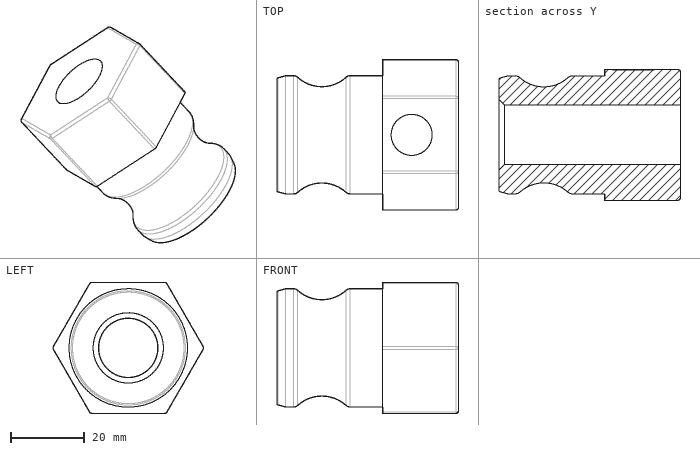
import cadquery as cq
import math

total_length = 49.2125
hex_length = 20.574
hex_start = total_length - hex_length

body_radius = 32.11 / 2
groove_center_x = 12.18
groove_arc_radius = 9.72
groove_lip_radius = 1.524
groove_half_width = 7.62
nose_taper_length = 2.381
nose_taper_drop = 0.65
nose_edge_radius = 0.381

hex_sides = 6
across_flats = 35.56
hex_edge_radius = 0.762

bore_diameter = 16.0
bore_mouth_diameter = 19.05
bore_mouth_depth = 1.524

label_diameter = 11.11
label_depth = 0.2
label_center_x = 36.5


def make_spigot():
    """Revolved spigot: tapered nose, rounded cam groove and plain cylinder."""
    centers_distance = groove_arc_radius + groove_lip_radius
    lip_angle = math.asin(groove_half_width / centers_distance)
    lip_center_r = body_radius - groove_lip_radius
    groove_center_r = lip_center_r + centers_distance * math.cos(lip_angle)

    def lip_point(side, angle):
        """Point on a lip arc, turned by angle from its tangent point on the cylinder."""
        return (
            groove_center_x + side * (groove_half_width - groove_lip_radius * math.sin(angle)),
            lip_center_r + groove_lip_radius * math.cos(angle),
        )

    groove_bottom = (groove_center_x, groove_center_r - groove_arc_radius)

    profile = (
        cq.Workplane("XY")
        .moveTo(0, 0)
        .lineTo(0, body_radius - nose_taper_drop)
        .lineTo(nose_taper_length, body_radius)
        .lineTo(*lip_point(-1, 0))
        .threePointArc(lip_point(-1, lip_angle / 2), lip_point(-1, lip_angle))
        .threePointArc(groove_bottom, lip_point(1, lip_angle))
        .threePointArc(lip_point(1, lip_angle / 2), lip_point(1, 0))
        .lineTo(hex_start, body_radius)
        .lineTo(hex_start, 0)
        .close()
    )
    spigot = profile.revolve(360, (0, 0, 0), (1, 0, 0))
    return spigot.faces("<X").edges().fillet(nose_edge_radius)


def make_hex():
    """Hexagon with flats facing +Z and -Z, rounded edges and a rounded far end."""
    across_corners = across_flats / math.cos(math.radians(180 / hex_sides))
    prism = (
        cq.Workplane("YZ", origin=(hex_start, 0, 0))
        .polygon(hex_sides, across_corners)
        .extrude(hex_length)
        .edges("|X")
        .fillet(hex_edge_radius)
    )
    return prism.faces(">X").fillet(hex_edge_radius)


def make_bore():
    """Through bore with a conical mouth at the nose."""
    bore_radius = bore_diameter / 2
    mouth_radius = bore_mouth_diameter / 2
    profile = (
        cq.Workplane("XY")
        .moveTo(0, 0)
        .lineTo(0, mouth_radius)
        .lineTo(bore_mouth_depth, bore_radius)
        .lineTo(total_length, bore_radius)
        .lineTo(total_length, 0)
        .close()
    )
    return profile.revolve(360, (0, 0, 0), (1, 0, 0))


def make_label_recess():
    """Shallow round recess sunk into the top flat."""
    floor_z = across_flats / 2 - label_depth
    return (
        cq.Workplane("XY", origin=(label_center_x, 0, floor_z))
        .circle(label_diameter / 2)
        .extrude(label_depth)
    )


result = make_spigot().union(make_hex()).cut(make_bore()).cut(make_label_recess())